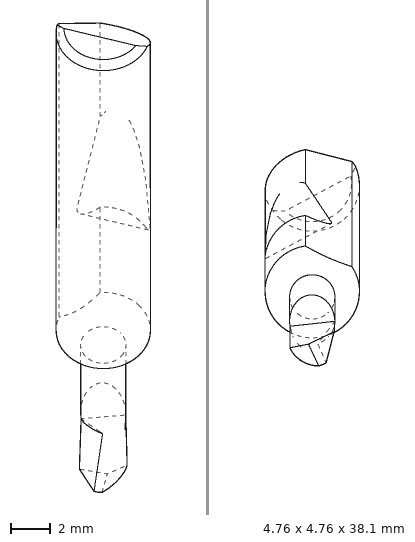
import cadquery as cq
import math

LENGTH = 38.1

SHANK_R = 4.76 / 2
SHANK_BOTTOM_Z = 12.3
SHANK_CHAMFER = 0.4
FLAT_DISTANCE = 2.0
FLAT_ANGLE = 143
BEVEL_TOP_Y = -0.6

NOTCH_FLOOR_Z = 19.57
NOTCH_R = 1.0
NOTCH_CENTER_Y = 2.07
NOTCH_SLOPE = 10

NECK_R = 1.14
TIP_LENGTH = 5.05

TIP_END_R = 1.26
NECK_CORNERS = {"nose": 206.6, "heel": 284.7, "back": 378}
END_CORNERS = {"nose": 180, "heel": 264, "back": 363}
END_RELIEF = 4
TIP_CHAMFER_X = 0.1

FULL_TURN = 360
MARGIN = 1.0
CUTTER_SIZE = 4 * SHANK_R


def polar(radius, degrees):
    """Point (x, y) on a circle around the axis."""
    angle = math.radians(degrees)
    return radius * math.cos(angle), radius * math.sin(angle)


def turned_body():
    """Shank, 45 degree cone and neck as one revolved profile."""
    cone_bottom_z = SHANK_BOTTOM_Z - (SHANK_R - NECK_R)
    return (
        cq.Workplane("XZ")
        .moveTo(0, TIP_LENGTH)
        .lineTo(NECK_R, TIP_LENGTH)
        .lineTo(NECK_R, cone_bottom_z)
        .lineTo(SHANK_R, SHANK_BOTTOM_Z)
        .lineTo(SHANK_R, LENGTH - SHANK_CHAMFER)
        .lineTo(SHANK_R - SHANK_CHAMFER, LENGTH)
        .lineTo(0, LENGTH)
        .close()
        .revolve(FULL_TURN, (0, 0), (0, 1))
    )


def clamping_flat():
    """Block beyond the flat, over the full height of the bar."""
    return (
        cq.Workplane("XY")
        .box(CUTTER_SIZE, CUTTER_SIZE, LENGTH, centered=(False, True, False))
        .translate((FLAT_DISTANCE, 0, 0))
        .rotate((0, 0, 0), (0, 0, 1), FLAT_ANGLE)
    )


def end_bevel():
    """Wedge above the 45 degree bevel that falls toward +Y."""
    outer_y = SHANK_R + MARGIN
    top_z = LENGTH + MARGIN
    return (
        cq.Workplane("YZ")
        .moveTo(BEVEL_TOP_Y - MARGIN, top_z)
        .lineTo(outer_y, LENGTH - (outer_y - BEVEL_TOP_Y))
        .lineTo(outer_y, top_z)
        .close()
        .extrude(CUTTER_SIZE / 2, both=True)
    )


def notch():
    """Notch across X: flat floor, rounded corner, wall sloping out upward."""
    slope = math.radians(NOTCH_SLOPE)
    center_z = NOTCH_FLOOR_Z + NOTCH_R
    wall_y = NOTCH_CENTER_Y - NOTCH_R * math.cos(slope)
    wall_z = center_z + NOTCH_R * math.sin(slope)
    outer_y = SHANK_R + MARGIN
    outer_z = wall_z + (outer_y - wall_y) / math.tan(slope)
    mid_angle = math.pi / 4 + slope / 2
    arc_mid = (
        NOTCH_CENTER_Y - NOTCH_R * math.sin(mid_angle),
        center_z - NOTCH_R * math.cos(mid_angle),
    )
    return (
        cq.Workplane("YZ")
        .moveTo(outer_y, NOTCH_FLOOR_Z)
        .lineTo(NOTCH_CENTER_Y, NOTCH_FLOOR_Z)
        .threePointArc(arc_mid, (wall_y, wall_z))
        .lineTo(outer_y, outer_z)
        .close()
        .extrude(CUTTER_SIZE / 2, both=True)
    )


def runout_ramp(start_angle, end_angle):
    """Wedge outside a chord of the neck, its 45 degree face rising from the tip."""
    normal_angle = (start_angle + end_angle) / 2
    chord_distance = NECK_R * math.cos(math.radians((end_angle - start_angle) / 2))
    reach = NECK_R - chord_distance + MARGIN
    return (
        cq.Workplane("XZ")
        .moveTo(chord_distance, TIP_LENGTH)
        .lineTo(chord_distance + reach, TIP_LENGTH)
        .lineTo(chord_distance + reach, TIP_LENGTH + reach)
        .close()
        .extrude(CUTTER_SIZE / 2, both=True)
        .rotate((0, 0, 0), (0, 0, 1), normal_angle)
    )


def tip_section(workplane, radius, corners):
    """Tip outline: side face nose-heel, round heel-back, chip face back-nose."""
    round_mid = (corners["heel"] + corners["back"]) / 2
    return (
        workplane
        .moveTo(*polar(radius, corners["nose"]))
        .lineTo(*polar(radius, corners["heel"]))
        .threePointArc(polar(radius, round_mid), polar(radius, corners["back"]))
        .close()
    )


def end_relief():
    """Half-space under the end face, which rises from the nose to +X and -Y."""
    nose = (*polar(TIP_END_R, END_CORNERS["nose"]), 0)
    return (
        cq.Workplane("XY")
        .box(CUTTER_SIZE, CUTTER_SIZE, MARGIN, centered=(True, True, False))
        .translate((0, 0, -MARGIN))
        .rotate((0, 0, 0), (1, 0, 0), -END_RELIEF)
        .rotate((0, 0, 0), (0, 1, 0), -END_RELIEF)
        .translate(nose)
    )


def corner_cut():
    """Wedge below the 45 degree cut on the +X corner of the tip."""
    reach = TIP_END_R - TIP_CHAMFER_X + MARGIN
    return (
        cq.Workplane("XZ")
        .moveTo(TIP_CHAMFER_X, 0)
        .lineTo(TIP_CHAMFER_X + reach, 0)
        .lineTo(TIP_CHAMFER_X + reach, reach)
        .close()
        .extrude(CUTTER_SIZE / 2, both=True)
    )


def cutting_tip():
    """Twisted, flaring tip between the neck and the nose."""
    end = tip_section(cq.Workplane("XY"), TIP_END_R, END_CORNERS)
    blank = tip_section(end.workplane(offset=TIP_LENGTH), NECK_R, NECK_CORNERS)
    return blank.loft(ruled=True).cut(end_relief()).cut(corner_cut())


bar = turned_body().cut(clamping_flat()).cut(end_bevel()).cut(notch())
chip_ramp = runout_ramp(NECK_CORNERS["back"] - FULL_TURN, NECK_CORNERS["nose"])
side_ramp = runout_ramp(NECK_CORNERS["nose"], NECK_CORNERS["heel"])
result = bar.cut(chip_ramp).cut(side_ramp).union(cutting_tip())